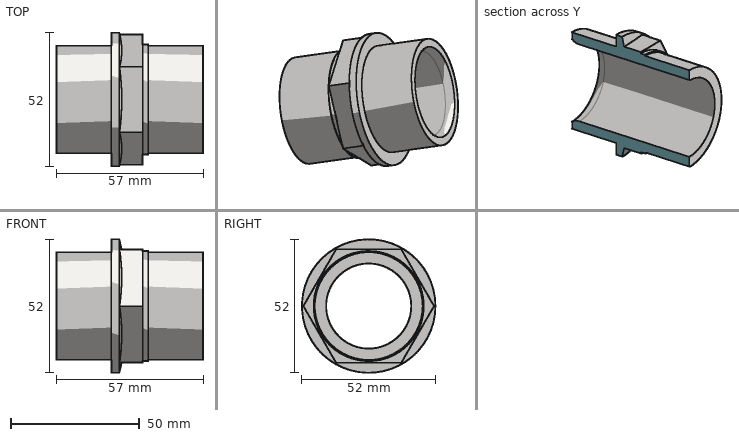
import cadquery as cq
import math

overall_length = 57.0
spigot_length = 21.4
spigot_diameter = 41.9
collar_diameter = 42.9
bore_diameter = 33.01
mouth_diameter = 35.55
mouth_depth = 3.5

flange_diameter = 52.0
flange_width = 3.0
hex_sides = 6
hex_across_flats = 44.0
hex_width = 9.1
hex_relief_depth = 1.0

end_x = overall_length / 2
flange_start_x = spigot_length - end_x
flange_end_x = flange_start_x + flange_width
hex_end_x = flange_end_x + hex_width
collar_end_x = end_x - spigot_length


def cylinder(diameter, start_x, stop_x):
    """Solid cylinder on the X axis between two stations."""
    return cq.Workplane("YZ", origin=(start_x, 0, 0)).circle(diameter / 2).extrude(stop_x - start_x)


def revolve_about_x(profile):
    """Turn a profile drawn in X and radius around the X axis."""
    return profile.close().revolve(360, (0, 0, 0), (1, 0, 0))


def make_hexagon():
    """Wrench hexagon with two opposite corners along Y."""
    across_corners = hex_across_flats / math.cos(math.pi / hex_sides)
    return (
        cq.Workplane("YZ", origin=(flange_start_x, 0, 0))
        .polygon(hex_sides, across_corners)
        .extrude(hex_end_x - flange_start_x)
    )


def make_relief_cone():
    """Cone that blends the flange face into the flats of the hexagon."""
    flange_radius = flange_diameter / 2
    cone_slope = hex_relief_depth / (flange_radius - hex_across_flats / 2)
    cone_height = flange_radius * cone_slope
    return revolve_about_x(
        cq.Workplane("XY")
        .moveTo(flange_end_x, 0)
        .lineTo(flange_end_x, flange_radius)
        .lineTo(flange_end_x + cone_height, 0)
    )


def make_mouth():
    """Rounded entry at the -X end, its convex arc running out tangent to the bore."""
    mouth_radius = mouth_diameter / 2
    bore_radius = bore_diameter / 2
    mouth_end_x = mouth_depth - end_x
    arc_rise = mouth_radius - bore_radius
    arc_radius = (mouth_depth**2 + arc_rise**2) / (2 * arc_rise)
    half_sweep = math.asin(mouth_depth / arc_radius) / 2
    arc_middle = (
        mouth_end_x - arc_radius * math.sin(half_sweep),
        bore_radius + arc_radius * (1 - math.cos(half_sweep)),
    )
    return revolve_about_x(
        cq.Workplane("XY")
        .moveTo(-end_x, 0)
        .lineTo(-end_x, mouth_radius)
        .threePointArc(arc_middle, (mouth_end_x, bore_radius))
        .lineTo(mouth_end_x, 0)
    )


pipe = cylinder(spigot_diameter, -end_x, end_x)
flange = cylinder(flange_diameter, flange_start_x, flange_end_x)
collar = cylinder(collar_diameter, flange_end_x, collar_end_x)
bore = cylinder(bore_diameter, -end_x, end_x)

body = pipe.union(flange).union(make_relief_cone()).union(make_hexagon()).union(collar)
result = body.cut(bore).cut(make_mouth())